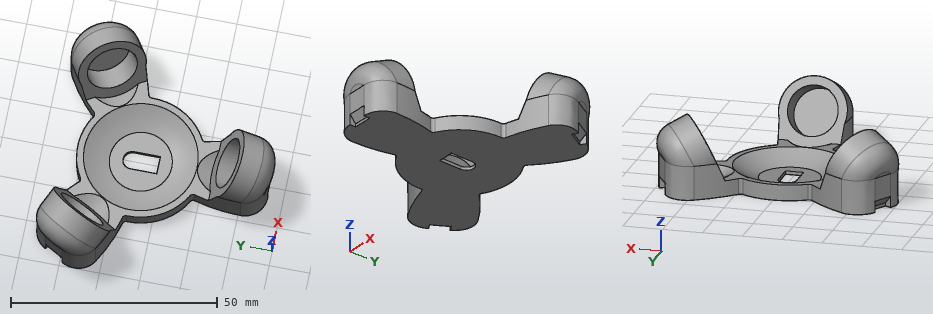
import cadquery as cq
import math

ring_radius = 15.6
plate_height = 4.05
bowl_rim_radius = 13.9
bowl_floor_radius = 7.65
bowl_floor_height = 0.9
slot_width = 4.5
slot_length = 8.75
corner_fillet = 0.9
corner_reach = ring_radius + corner_fillet

arm_angles = (-90, 30, 150)
tilt = 25
cup_radius = 8.6
cup_wall_length = 5.35
dome_fillet = 5.05
seam_reach = 26.4
seam_height = 8.7
bore_radius = 6.3
bore_depth = 6.5
clearance_radius = 9.4
clearance_length = 12.05

arm_root_reach = 12.05
arm_root_half_width = 6.2

notch_depth = 1.75
notch_outer_height = 2.9
notch_inner_height = 0.85

tilt_cos = math.cos(math.radians(tilt))
tilt_sin = math.sin(math.radians(tilt))
face_reach = seam_reach - cup_wall_length * tilt_cos
face_height = seam_height + cup_wall_length * tilt_sin
column_reach = seam_reach + dome_fillet / tilt_cos
cup_length = cup_wall_length + dome_fillet
end_disc_radius = cup_radius - dome_fillet
column_flat_half = math.sqrt(end_disc_radius**2 - (dome_fillet * tilt_sin / tilt_cos) ** 2)
limit = 2 * cup_radius + seam_reach

cup_plane = cq.Plane(
    origin=(face_reach, 0, face_height),
    xDir=(0, 1, 0),
    normal=(tilt_cos, 0, -tilt_sin),
)


def face_line_reach(height):
    """Radial distance of the open cup face at a given height."""
    return face_reach - (face_height - height) * tilt_sin / tilt_cos


def make_cup():
    """Upper part of the round-ended cup, cut level at the seam height."""
    cup = cq.Workplane(cup_plane).circle(cup_radius).extrude(cup_length)
    cup = cup.faces(cq.selectors.DirectionMinMaxSelector(cup_plane.zDir, True)).edges().fillet(dome_fillet)
    upper_space = cq.Workplane("XY", origin=(0, 0, seam_height)).rect(2 * limit, 2 * limit).extrude(limit)
    return cup.intersect(upper_space)


def make_column(cup):
    """Straight column below the dome, following the dome's outline at the seam height."""
    outer_space = cq.Workplane("XY").box(limit, limit, limit, centered=(False, True, False))
    dome = cup.intersect(outer_space.translate((seam_reach, 0, 0)))
    outline = dome.faces("<Z").val()
    return cq.Workplane(cq.Solid.extrudeLinear(outline, cq.Vector(0, 0, -seam_height)))


def make_arm(height):
    """Arm whose arched sides leave the column straight and narrow towards the dish."""
    run = seam_reach - arm_root_reach
    narrowing = cup_radius - arm_root_half_width
    side_radius = (run**2 + narrowing**2) / (2 * narrowing)
    middle_reach = seam_reach - run / 2
    middle_half_width = cup_radius - side_radius + math.sqrt(side_radius**2 - (run / 2) ** 2)
    return (
        cq.Workplane("XY")
        .moveTo(seam_reach, -cup_radius)
        .lineTo(seam_reach, cup_radius)
        .threePointArc((middle_reach, middle_half_width), (arm_root_reach, arm_root_half_width))
        .lineTo(arm_root_reach, -arm_root_half_width)
        .threePointArc((middle_reach, -middle_half_width), (seam_reach, -cup_radius))
        .close()
        .extrude(height)
    )


def make_riser():
    """Part of the arm behind the sloping cup face, up to the seam height."""
    behind_face = (
        cq.Workplane("XZ")
        .moveTo(face_line_reach(0), 0)
        .lineTo(limit, 0)
        .lineTo(limit, seam_height)
        .lineTo(face_line_reach(seam_height), seam_height)
        .close()
        .extrude(limit, both=True)
    )
    return make_arm(seam_height).intersect(behind_face)


def make_notch():
    """Notch with a ceiling that slopes down towards its inner wall."""
    return (
        cq.Workplane("XZ")
        .moveTo(column_reach - notch_depth, 0)
        .lineTo(column_reach, 0)
        .lineTo(column_reach, notch_outer_height)
        .lineTo(column_reach - notch_depth, notch_inner_height)
        .close()
        .extrude(column_flat_half, both=True)
    )


def place_on_arms(body):
    """Copies of a body at every arm angle."""
    return [body.rotate((0, 0, 0), (0, 0, 1), angle) for angle in arm_angles]


plate = cq.Workplane("XY").circle(ring_radius).extrude(plate_height)
for arm in place_on_arms(make_arm(plate_height)):
    plate = plate.union(arm)
corner_zone = cq.selectors.BoxSelector(
    (-corner_reach, -corner_reach, 0),
    (corner_reach, corner_reach, plate_height),
)
plate = plate.edges("|Z").edges(corner_zone).fillet(corner_fillet)

cup = make_cup()
holder = cup.union(make_column(cup)).union(make_riser())
bore = cq.Workplane(cup_plane).circle(bore_radius).extrude(bore_depth)
clearance = cq.Workplane(cup_plane).circle(clearance_radius).extrude(-clearance_length)
cutter = bore.union(clearance).union(make_notch())

result = plate
for body in place_on_arms(holder):
    result = result.union(body)
for body in place_on_arms(cutter):
    result = result.cut(body)

bowl_depth = plate_height - bowl_floor_height
sphere_rise = (bowl_rim_radius**2 - bowl_floor_radius**2 - bowl_depth**2) / (2 * bowl_depth)
sphere_radius = math.hypot(bowl_rim_radius, sphere_rise)
bowl_space = cq.Workplane("XY", origin=(0, 0, bowl_floor_height)).circle(bowl_rim_radius).extrude(bowl_depth)
sphere = cq.Workplane("XY", origin=(0, 0, plate_height + sphere_rise)).sphere(sphere_radius)
result = result.cut(sphere.intersect(bowl_space))

slot_half_width = slot_width / 2
slot_half_length = slot_length / 2
slot = (
    cq.Workplane("XY")
    .moveTo(-slot_half_width, -slot_half_length)
    .lineTo(slot_half_width, -slot_half_length)
    .lineTo(slot_half_width, slot_half_length - slot_half_width)
    .threePointArc((0, slot_half_length), (-slot_half_width, slot_half_length - slot_half_width))
    .close()
    .extrude(plate_height)
)
result = result.cut(slot)